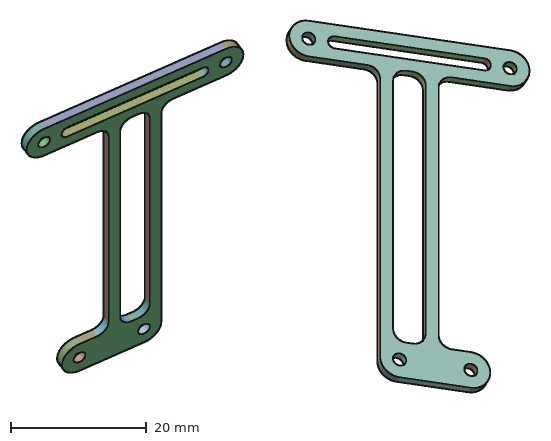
import cadquery as cq

thickness = 1.5
height = 57.5
bar_height = 6.0
end_radius = bar_height / 2
hole_diameter = 2.0
fillet_radius = 2.0

head_hole_spacing = 31.0
head_length = head_hole_spacing + bar_height
head_z = height - end_radius
slot_length = 25.0
slot_width = 2.0

stem_width = 9.0
post_width = 2.0
window_width = stem_width - 2 * post_width
window_height = height - 2 * bar_height

foot_hole_spacing = 11.0
foot_length = foot_hole_spacing + bar_height
foot_y = stem_width / 2 - foot_length / 2
foot_z = end_radius


def prism(sketch):
    """Extrude a YZ sketch through the plate thickness, centred on X = 0."""
    return sketch.extrude(thickness / 2, both=True)


def rounded_bar(length, width, y, z):
    return prism(cq.Workplane("YZ").center(y, z).slot2D(length, width))


def hole_pair(spacing, y, z):
    places = [(y - spacing / 2, z), (y + spacing / 2, z)]
    return prism(cq.Workplane("YZ").pushPoints(places).circle(hole_diameter / 2))


def make_outline():
    head = rounded_bar(head_length, bar_height, 0, head_z)
    foot = rounded_bar(foot_length, bar_height, foot_y, foot_z)
    stem_height = head_z - foot_z
    stem = prism(cq.Workplane("YZ").center(0, height / 2).rect(stem_width, stem_height))
    outline = head.union(foot).union(stem).clean()

    half_stem = stem_width / 2
    corners = [
        (0, -half_stem, height - bar_height),
        (0, half_stem, height - bar_height),
        (0, -half_stem, bar_height),
    ]
    for corner in corners:
        edge = cq.selectors.NearestToPointSelector(corner)
        outline = outline.edges("|X").edges(edge).fillet(fillet_radius)
    return outline


def make_window():
    window = prism(cq.Workplane("YZ").center(0, height / 2).rect(window_width, window_height))
    return window.edges("|X").fillet(fillet_radius)


result = (
    make_outline()
    .cut(make_window())
    .cut(rounded_bar(slot_length, slot_width, 0, head_z))
    .cut(hole_pair(head_hole_spacing, 0, head_z))
    .cut(hole_pair(foot_hole_spacing, foot_y, foot_z))
)